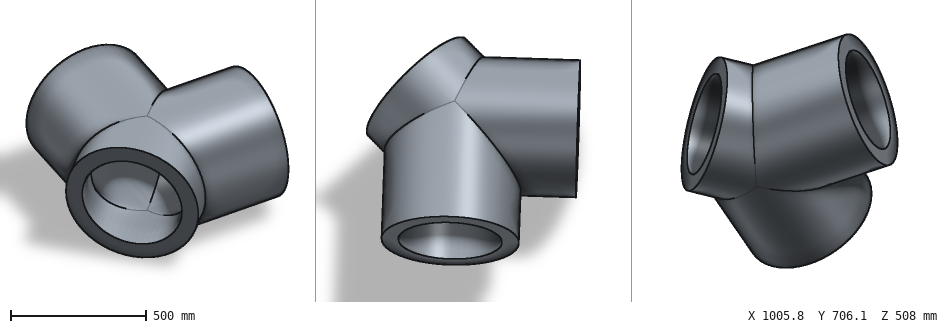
import cadquery as cq
import math

outer_diameter = 508.0
bore_diameter = 382.57
inlet_length = 203.2
branch_length = 457.2
branch_angle = 45.0

legs = [
    (180.0, inlet_length),
    (branch_angle, branch_length),
    (-branch_angle, branch_length),
]


def leg_cylinder(angle, length, diameter):
    """Solid cylinder from the origin along a leg axis in the XY plane."""
    axis = cq.Vector(math.sin(math.radians(angle)), math.cos(math.radians(angle)), 0)
    return cq.Workplane(cq.Solid.makeCylinder(diameter / 2, length, cq.Vector(0, 0, 0), axis))


def joined_legs(diameter):
    """All legs fused; legs of equal diameter meet along mitred seams."""
    body = leg_cylinder(*legs[0], diameter)
    for angle, length in legs[1:]:
        body = body.union(leg_cylinder(angle, length, diameter))
    return body


outer_body = joined_legs(outer_diameter)
bore = joined_legs(bore_diameter)
result = outer_body.cut(bore)